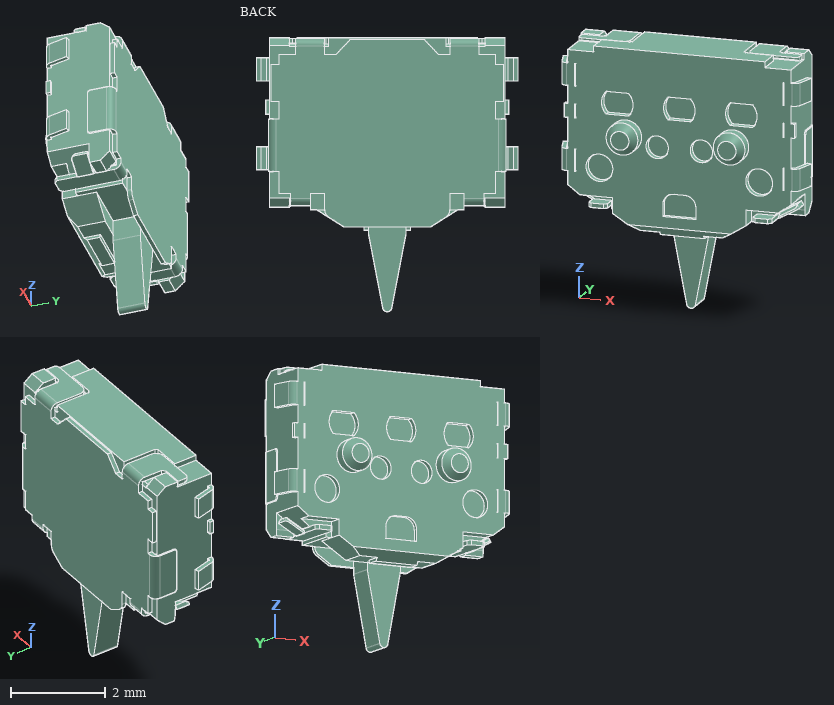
import cadquery as cq
import math


HALF_WIDTH = 2.5
HOUSING_DEPTH = 1.4
HOUSING_TOP = 1.92
CORNER_BOTTOM = -1.68
NOSE_ROOT_Z = -1.735
NOSE_SIDE_X = 1.63
NOSE_TAPER_X = 1.5
NOSE_TIP_X = 0.92
NOSE_TIP_Z = -2.1
NOSE_CHAMFER = 0.15
NOSE_DEPTH = 0.77
REAR_CHAMFER_Y = 0.21
REAR_CHAMFER_TOP_Z = 0.165
REAR_CHAMFER_BOTTOM_Z = 0.2
CORNER_BLOCK_X = 2.08

SHEET = 0.1
COVER_BACK = HOUSING_DEPTH + SHEET
COVER_HALF_WIDTH = 2.47
COVER_NECK_X = 2.30
COVER_TOP = 1.885
COVER_SHOULDER_Z = 1.56
COVER_CREST_X = 0.78
COVER_CREST_FOOT_X = 1.09
COVER_EAR_TOP = 1.35
COVER_EAR_BOTTOM = 0.56
COVER_BOTTOM = -1.39
COVER_NOSE_X = 1.33
COVER_NOSE_RADIUS = 0.22
BEND_RADIUS = 0.16

STRAP_PROUD = 0.025
STRAP_TOP = 0.193
STRAP_BOTTOM = -0.917
STRAP_FRONT_Y = 0.91
STRAP_CORNER_RADIUS = 0.07
STRAP_GAP = 0.01

POCKET_DEPTH = 0.13
TOP_POCKET_INNER_X = 1.25
TOP_POCKET_FRONT_Y = 0.55
TOP_POCKET_ARM_BACK_Y = 0.875
TOP_POCKET_CORNER = 0.05
TOP_POCKET_BEVEL = 0.06
TOP_RELIEF_X = 1.92
TOP_TAB_TOP = 1.905
TOP_TAB_INNER_X = 1.335
TOP_TAB_OUTER_X = 1.945
TOP_TAB_FRONT_Y = 0.57
TOP_TAB_ARM_BACK_Y = 0.84
TOP_TAB_INNER_RADIUS = 0.18
TAB_END_RADIUS = 0.09
TOP_TAB_CREASE = 0.07
TOP_TAB_BEVEL = 0.05
TOP_TAB_BEVEL_RUN = 0.1

BOTTOM_FLOOR_Z = CORNER_BOTTOM + POCKET_DEPTH
CORNER_CUT_Z = -1.19
CORNER_CUT_INNER_X = 2.02
CORNER_CUT_DEPTH = 0.935
CORNER_DRAFT = 0.02
NOTCH_TOP_Z = -1.39
NOTCH_INNER_X = NOSE_TAPER_X
NOTCH_DEPTH = 0.34
BOTTOM_TAB_OUTER_X = 2.05
BOTTOM_TAB_CHAMFER = 0.07
TONGUE_FRONT_Y = 0.52
TONGUE_BACK_Y = 0.885
TONGUE_ANGLE = 29
TONGUE_LENGTH = 0.5
TONGUE_DROP = 0.015
TONGUE_BEVEL = 0.06
TONGUE_BEVEL_RUN = 0.1

TERMINALS = [(1.245, 0.5), (-0.64, 0.49)]
TERMINAL_TIP_X = 2.78
TERMINAL_TIP_Y = 0.55
TERMINAL_LEAN = math.radians(15)
TERMINAL_BEND_RADIUS = 0.15
STUB = (0.445, 0.31)
STUB_TIP_X = 2.58
SLIT_X = 2.335
SLIT_WIDTH = 0.02

PEG_X = 1.2
PEG_RADIUS = 0.355
PEG_LENGTH = 0.4
PEG_CHAMFER = 0.15
RECESS_DEPTH = 0.15
FLAT_HOLE_SPACING = 1.39
FLAT_HOLE_Z = 0.695
FLAT_HOLE_RADIUS = 0.353
FLAT_HOLE_HEIGHT = 0.5
SMALL_HOLE = (0.495, -0.185, 0.25)
LARGE_HOLE = (1.79, -0.755, 0.3)
ARCH_HALF_WIDTH = 0.37
ARCH_TOP = -1.19
ARCH_BOTTOM = -1.7
ARCH_RADIUS = 0.25
ARCH_DEPTH = 0.1

LEVER_FRONT_Y = NOSE_DEPTH
LEVER_BACK_Y = 1.38
LEVER_HALF_WIDTH = 0.4
LEVER_TAPER_Z = -2.25
LEVER_TIP_Z = -3.9
LEVER_TIP_RADIUS = 0.1
STOP_HALF_WIDTH = 0.495
STOP_BOTTOM_Z = -2.17
STOP_BACK_Y = 0.52
STOP_BACK_SLOPE = 0.02


def box(x0, x1, y0, y1, z0, z1):
    return cq.Workplane("XY").box(x1 - x0, y1 - y0, z1 - z0, centered=False).translate((x0, y0, z0))


def extrude_y(points, y0, y1):
    """Prism with an XZ outline, from y0 to y1."""
    return cq.Workplane("XZ", origin=(0, y0, 0)).polyline(points).close().extrude(y0 - y1)


def extrude_x(points, x0, x1):
    """Prism with a YZ outline, from x0 to x1."""
    return cq.Workplane("YZ", origin=(x0, 0, 0)).polyline(points).close().extrude(x1 - x0)


def extrude_z(points, z0, z1):
    """Prism with an XY outline, from z0 to z1."""
    return cq.Workplane("XY", origin=(0, 0, z0)).polyline(points).close().extrude(z1 - z0)


def both_sides(shape):
    return shape.union(shape.mirror("YZ"))


def symmetric(right_points):
    """Close an XZ outline given by its right half, listed from top to bottom."""
    return right_points + [(-x, z) for x, z in reversed(right_points)]


def housing():
    block = box(-HALF_WIDTH, HALF_WIDTH, 0, HOUSING_DEPTH, CORNER_BOTTOM, HOUSING_TOP)
    centre = box(-NOSE_SIDE_X, NOSE_SIDE_X, 0, HOUSING_DEPTH, NOSE_ROOT_Z, 0)
    nose = extrude_y(
        symmetric([(NOSE_TAPER_X, NOSE_ROOT_Z), (NOSE_TIP_X, NOSE_TIP_Z)]), 0, NOSE_DEPTH
    )
    nose_bevel = extrude_x(
        [(0, NOSE_TIP_Z), (NOSE_CHAMFER, NOSE_TIP_Z), (0, NOSE_TIP_Z + NOSE_CHAMFER)],
        -HALF_WIDTH, HALF_WIDTH,
    )
    return block.union(centre).union(nose).cut(nose_bevel)


def rear_corner_chamfers():
    bevel_y = HOUSING_DEPTH - REAR_CHAMFER_Y
    top = extrude_x(
        [
            (HOUSING_DEPTH, HOUSING_TOP),
            (bevel_y, HOUSING_TOP),
            (HOUSING_DEPTH, HOUSING_TOP - REAR_CHAMFER_TOP_Z),
        ],
        CORNER_BLOCK_X, HALF_WIDTH,
    )
    bottom = extrude_x(
        [
            (HOUSING_DEPTH, CORNER_BOTTOM),
            (bevel_y, CORNER_BOTTOM),
            (HOUSING_DEPTH, CORNER_BOTTOM + REAR_CHAMFER_BOTTOM_Z),
        ],
        CORNER_BLOCK_X, HALF_WIDTH,
    )
    return both_sides(top.union(bottom))


def top_pockets():
    floor_z = HOUSING_TOP - POCKET_DEPTH
    pocket = extrude_z(
        [
            (TOP_POCKET_INNER_X, HOUSING_DEPTH),
            (TOP_POCKET_INNER_X, TOP_POCKET_FRONT_Y + TOP_POCKET_CORNER),
            (TOP_POCKET_INNER_X + TOP_POCKET_CORNER, TOP_POCKET_FRONT_Y),
            (TOP_RELIEF_X, TOP_POCKET_FRONT_Y),
            (TOP_RELIEF_X, 0),
            (HALF_WIDTH, 0),
            (HALF_WIDTH, TOP_POCKET_ARM_BACK_Y),
            (CORNER_BLOCK_X, TOP_POCKET_ARM_BACK_Y),
            (CORNER_BLOCK_X, HOUSING_DEPTH),
        ],
        floor_z, HOUSING_TOP,
    )
    bevel = extrude_x(
        [
            (HOUSING_DEPTH, floor_z),
            (HOUSING_DEPTH - TOP_POCKET_BEVEL, floor_z),
            (HOUSING_DEPTH, floor_z - TOP_POCKET_BEVEL),
        ],
        TOP_POCKET_INNER_X, CORNER_BLOCK_X,
    )
    return both_sides(pocket.union(bevel))


def bottom_corner_cuts():
    slope = extrude_y(
        [
            (HALF_WIDTH, CORNER_CUT_Z),
            (CORNER_CUT_INNER_X, BOTTOM_FLOOR_Z),
            (CORNER_CUT_INNER_X, CORNER_BOTTOM),
            (HALF_WIDTH, CORNER_BOTTOM),
        ],
        0, CORNER_CUT_DEPTH,
    )
    draft = extrude_x(
        [
            (CORNER_CUT_DEPTH, BOTTOM_FLOOR_Z),
            (CORNER_CUT_DEPTH + CORNER_DRAFT, CORNER_BOTTOM),
            (CORNER_CUT_DEPTH, CORNER_BOTTOM),
        ],
        CORNER_CUT_INNER_X, HALF_WIDTH,
    )
    tab_pocket = box(NOSE_SIDE_X, CORNER_BLOCK_X, 0, HOUSING_DEPTH, CORNER_BOTTOM, BOTTOM_FLOOR_Z)
    notch = box(NOTCH_INNER_X, HALF_WIDTH, 0, NOTCH_DEPTH, NOSE_ROOT_Z, NOTCH_TOP_Z)
    return both_sides(slope.union(draft).union(tab_pocket).union(notch))


def cover_plate():
    outline = symmetric([
        (COVER_CREST_X, COVER_TOP),
        (COVER_CREST_FOOT_X, COVER_SHOULDER_Z),
        (COVER_NECK_X, COVER_SHOULDER_Z),
        (COVER_NECK_X, COVER_EAR_TOP),
        (COVER_HALF_WIDTH, COVER_EAR_TOP),
        (COVER_HALF_WIDTH, COVER_EAR_BOTTOM),
        (COVER_NECK_X, COVER_EAR_BOTTOM),
        (COVER_NECK_X, COVER_BOTTOM),
    ])
    nose_slope = (NOSE_ROOT_Z - NOSE_TIP_Z) / (NOSE_TAPER_X - NOSE_TIP_X)
    nose_corner_z = NOSE_TIP_Z + nose_slope * (COVER_NOSE_X - NOSE_TIP_X)
    nose = extrude_y(
        symmetric([
            (COVER_NOSE_X, COVER_BOTTOM),
            (COVER_NOSE_X, nose_corner_z),
            (NOSE_TIP_X, NOSE_TIP_Z),
        ]),
        HOUSING_DEPTH, COVER_BACK,
    )
    for side in (-1, 1):
        corner = cq.selectors.NearestToPointSelector((side * COVER_NOSE_X, COVER_BACK, nose_corner_z))
        nose = nose.edges("|Y").edges(corner).fillet(COVER_NOSE_RADIUS)
    return extrude_y(outline, HOUSING_DEPTH, COVER_BACK).union(nose)


def side_straps():
    outer_x = HALF_WIDTH + STRAP_PROUD
    strap = box(COVER_NECK_X, outer_x, STRAP_FRONT_Y, COVER_BACK, STRAP_BOTTOM, STRAP_TOP)
    strap = strap.faces("<Y").edges("|X").fillet(STRAP_CORNER_RADIUS)
    strap = strap.edges(">X and >Y").fillet(BEND_RADIUS)
    return both_sides(strap)


def strap_pockets():
    """Side wall pockets that leave a narrow gap around the straps."""
    pocket = box(
        HALF_WIDTH + STRAP_PROUD - SHEET, HALF_WIDTH, STRAP_FRONT_Y - STRAP_GAP, HOUSING_DEPTH,
        STRAP_BOTTOM - STRAP_GAP, STRAP_TOP + STRAP_GAP,
    )
    pocket = pocket.faces("<Y").edges("|X").fillet(STRAP_CORNER_RADIUS + STRAP_GAP)
    return both_sides(pocket)


def top_tabs():
    bottom = TOP_TAB_TOP - SHEET
    arm = box(
        TOP_TAB_INNER_X, COVER_HALF_WIDTH, TOP_TAB_FRONT_Y, TOP_TAB_ARM_BACK_Y, bottom, TOP_TAB_TOP
    )
    arm = arm.edges("|Z").edges("<X and <Y").fillet(TOP_TAB_INNER_RADIUS)
    arm = arm.edges("|Z").edges(">X").edges("<Y").fillet(TAB_END_RADIUS)
    front_bevel = extrude_x(
        [
            (TOP_TAB_FRONT_Y, bottom),
            (TOP_TAB_FRONT_Y + TOP_TAB_BEVEL_RUN, bottom),
            (TOP_TAB_FRONT_Y, bottom + TOP_TAB_BEVEL),
        ],
        TOP_TAB_INNER_X, COVER_HALF_WIDTH,
    )
    arm = arm.cut(front_bevel)
    stem = box(
        TOP_TAB_INNER_X, TOP_TAB_OUTER_X, TOP_TAB_ARM_BACK_Y, COVER_BACK, bottom, TOP_TAB_TOP
    )
    web = box(
        TOP_TAB_INNER_X, TOP_TAB_OUTER_X, HOUSING_DEPTH, COVER_BACK, COVER_EAR_TOP, TOP_TAB_TOP
    )
    stem = stem.union(web).edges(">Y and >Z").fillet(BEND_RADIUS)
    crease = extrude_z(
        [
            (TOP_TAB_OUTER_X, TOP_TAB_ARM_BACK_Y),
            (TOP_TAB_OUTER_X + TOP_TAB_CREASE, TOP_TAB_ARM_BACK_Y),
            (TOP_TAB_OUTER_X, TOP_TAB_ARM_BACK_Y + TOP_TAB_CREASE),
        ],
        bottom, TOP_TAB_TOP,
    )
    return both_sides(arm.union(stem).union(crease))


def bottom_tabs():
    bottom = BOTTOM_FLOOR_Z - SHEET
    tab = box(NOSE_SIDE_X, BOTTOM_TAB_OUTER_X, 0, COVER_BACK, bottom, BOTTOM_FLOOR_Z)
    tab = tab.edges("|Z and <Y").chamfer(BOTTOM_TAB_CHAMFER)
    web = box(NOSE_SIDE_X, BOTTOM_TAB_OUTER_X, HOUSING_DEPTH, COVER_BACK, bottom, COVER_BOTTOM)
    tab = tab.union(web).edges(">Y and <Z").fillet(BEND_RADIUS)
    return both_sides(tab)


def bottom_tongues():
    """Tongues of the bottom tabs, bent up along the sloping corner cuts."""
    tongue = box(0, TONGUE_LENGTH, TONGUE_FRONT_Y, TONGUE_BACK_Y, 0, SHEET)
    tongue = tongue.edges("|Z").edges(">X").edges("<Y").fillet(TAB_END_RADIUS)
    front_bevel = extrude_x(
        [
            (TONGUE_FRONT_Y, SHEET),
            (TONGUE_FRONT_Y + TONGUE_BEVEL_RUN, SHEET),
            (TONGUE_FRONT_Y, SHEET - TONGUE_BEVEL),
        ],
        0, TONGUE_LENGTH,
    )
    tongue = tongue.cut(front_bevel).rotate((0, 0, 0), (0, 1, 0), -TONGUE_ANGLE)
    tongue = tongue.translate((BOTTOM_TAB_OUTER_X, 0, BOTTOM_FLOOR_Z - SHEET - TONGUE_DROP))
    return both_sides(tongue)


def terminals():
    """Gull-wing terminals: flat at the mounting face, then leaning back outwards."""
    reach = SHEET * math.cos(TERMINAL_LEAN)
    lift = SHEET * math.sin(TERMINAL_LEAN)
    outer_foot_x = TERMINAL_TIP_X - (TERMINAL_TIP_Y - lift) * math.tan(TERMINAL_LEAN)
    inner_foot_x = TERMINAL_TIP_X - reach - (TERMINAL_TIP_Y - SHEET) * math.tan(TERMINAL_LEAN)
    outline = [
        (SLIT_X, 0),
        (outer_foot_x, 0),
        (TERMINAL_TIP_X, TERMINAL_TIP_Y - lift),
        (TERMINAL_TIP_X - reach, TERMINAL_TIP_Y),
        (inner_foot_x, SHEET),
        (SLIT_X, SHEET),
    ]
    parts = cq.Workplane()
    for centre_z, width in TERMINALS:
        blade = extrude_z(outline, centre_z - width / 2, centre_z + width / 2)
        bend = cq.selectors.NearestToPointSelector((outer_foot_x, 0, centre_z))
        parts = parts.add(blade.edges("|Z").edges(bend).fillet(TERMINAL_BEND_RADIUS))
    stub_z, stub_width = STUB
    stub = box(SLIT_X, STUB_TIP_X, 0, SHEET, stub_z - stub_width / 2, stub_z + stub_width / 2)
    return both_sides(parts.add(stub).combine())


def terminal_slits():
    slits = cq.Workplane()
    for centre_z, width in TERMINALS + [STUB]:
        slits = slits.add(box(
            SLIT_X - SLIT_WIDTH / 2, SLIT_X + SLIT_WIDTH / 2, 0, SHEET,
            centre_z - width / 2, centre_z + width / 2,
        ))
    return both_sides(slits.combine())


def disc(x, z, radius, depth):
    """Cylinder from the mounting face into the housing."""
    return cq.Workplane("XZ").center(x, z).circle(radius).extrude(-depth)


def front_recesses():
    flat_band = box(
        -HALF_WIDTH, HALF_WIDTH, 0, RECESS_DEPTH,
        FLAT_HOLE_Z - FLAT_HOLE_HEIGHT / 2, FLAT_HOLE_Z + FLAT_HOLE_HEIGHT / 2,
    )
    side_flat = disc(FLAT_HOLE_SPACING, FLAT_HOLE_Z, FLAT_HOLE_RADIUS, RECESS_DEPTH)
    centre_flat = disc(0, FLAT_HOLE_Z, FLAT_HOLE_RADIUS, RECESS_DEPTH)
    flats = both_sides(side_flat).union(centre_flat).intersect(flat_band)
    rounds = disc(*SMALL_HOLE, RECESS_DEPTH).union(disc(*LARGE_HOLE, RECESS_DEPTH))
    arch = box(-ARCH_HALF_WIDTH, ARCH_HALF_WIDTH, 0, ARCH_DEPTH, ARCH_BOTTOM, ARCH_TOP)
    arch = arch.edges("|Y and >Z").fillet(ARCH_RADIUS)
    return flats.union(both_sides(rounds)).union(arch)


def pegs():
    peg = disc(PEG_X, 0, PEG_RADIUS, -PEG_LENGTH).faces("<Y").chamfer(PEG_CHAMFER)
    return both_sides(peg)


def lever():
    dx = LEVER_HALF_WIDTH
    length = LEVER_TAPER_Z - (LEVER_TIP_Z + LEVER_TIP_RADIUS)
    tilt = math.atan2(dx, length) - math.asin(LEVER_TIP_RADIUS / math.hypot(dx, length))
    tip_x = LEVER_TIP_RADIUS * math.cos(tilt)
    tip_z = LEVER_TIP_Z + LEVER_TIP_RADIUS * (1 - math.sin(tilt))
    return (
        cq.Workplane("XZ", origin=(0, LEVER_FRONT_Y, 0))
        .moveTo(-dx, NOSE_ROOT_Z)
        .lineTo(dx, NOSE_ROOT_Z)
        .lineTo(dx, LEVER_TAPER_Z)
        .lineTo(tip_x, tip_z)
        .threePointArc((0, LEVER_TIP_Z), (-tip_x, tip_z))
        .lineTo(-dx, LEVER_TAPER_Z)
        .close()
        .extrude(LEVER_FRONT_Y - LEVER_BACK_Y)
    )


def lever_stop():
    """Rib under the nose whose front continues the nose bevel."""
    drop = NOSE_TIP_Z - STOP_BOTTOM_Z
    return extrude_x(
        [
            (NOSE_CHAMFER, NOSE_TIP_Z),
            (NOSE_CHAMFER + drop, STOP_BOTTOM_Z),
            (STOP_BACK_Y - STOP_BACK_SLOPE, STOP_BOTTOM_Z),
            (STOP_BACK_Y, NOSE_TIP_Z),
        ],
        -STOP_HALF_WIDTH, STOP_HALF_WIDTH,
    )


result = housing()
for removed in (
    rear_corner_chamfers(), top_pockets(), bottom_corner_cuts(), strap_pockets(), front_recesses(),
):
    result = result.cut(removed)
for added in (
    cover_plate(), side_straps(), top_tabs(), bottom_tabs(), bottom_tongues(),
    terminals(), pegs(), lever(), lever_stop(),
):
    result = result.union(added)
result = result.cut(terminal_slits())